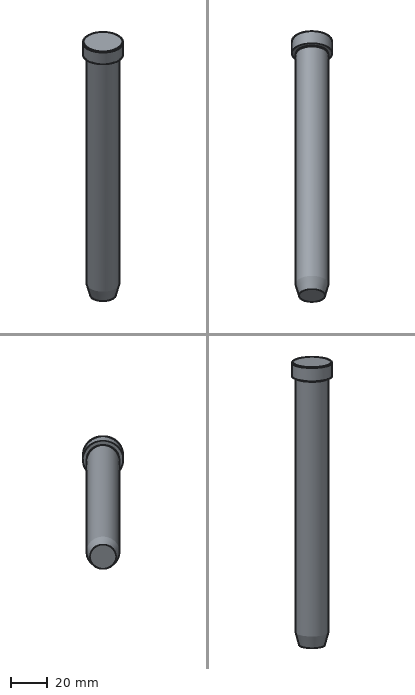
import cadquery as cq
import math

length = 160.0
head_diameter = 22.0
head_height = 8.0
head_chamfer = 0.56
shank_diameter = 18.0

groove_width = 1.0
groove_depth = 0.4

taper_height = 7.2
taper_angle = 15.0

head_radius = head_diameter / 2
shank_radius = shank_diameter / 2
groove_radius = shank_radius - groove_depth
tip_radius = shank_radius - taper_height * math.tan(math.radians(taper_angle))

top = length / 2
bottom = -length / 2
head_underside = top - head_height
groove_bottom = head_underside - groove_width
flank_top = groove_bottom + groove_depth

profile = (
    cq.Workplane("XZ")
    .moveTo(0, bottom)
    .lineTo(tip_radius, bottom)
    .lineTo(shank_radius, bottom + taper_height)
    .lineTo(shank_radius, groove_bottom)
    .lineTo(groove_radius, flank_top)
    .lineTo(groove_radius, head_underside)
    .lineTo(head_radius, head_underside)
    .lineTo(head_radius, top)
    .lineTo(0, top)
    .close()
)
pin = profile.revolve(360, (0, 0, 0), (0, 1, 0))

result = pin.faces(">Z").edges().chamfer(head_chamfer)